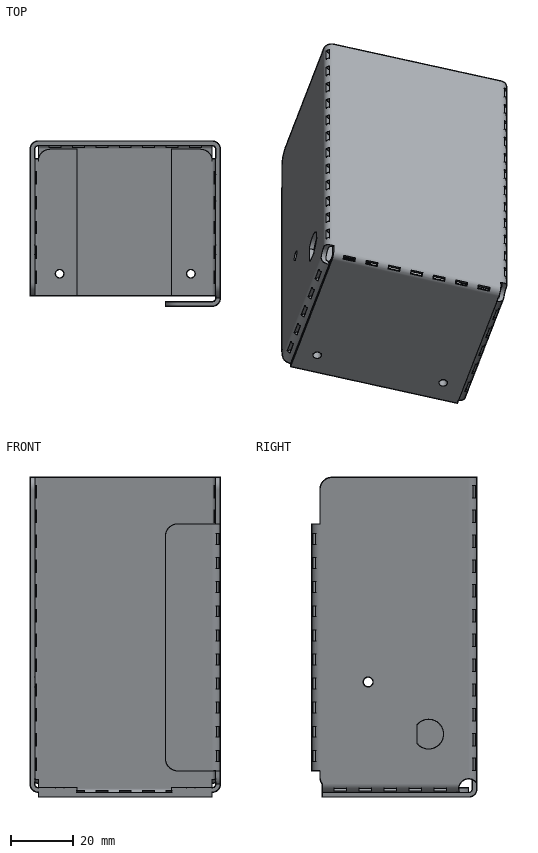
import cadquery as cq
import math


width = 61.0
depth = 53.0
height = 102.6
sheet = 1.5
bend_inner = 1.1
bend = bend_inner + sheet

half_width = width / 2
bend_line_x = half_width - bend
floor_depth = 49.7
right_depth = depth - bend
wall_foot = sheet + bend
left_flap_edge = -15.5
right_flap_edge = 14.9
corner_radius = 4.0
flap_radius = 3.7
relief_radius = 3.2
relief_end = bend + relief_radius

lip_reach = 17.6
lip_bottom = 8.4
lip_top = 87.6
lip_height = lip_top - lip_bottom

slot_width = 1.2
back_slots = (12, 4.0, 2.7)
flap_slots = (5, 4.0, 3.9)
floor_slots = (7, 3.8, 3.5)
lip_slots = (10, 3.5, 3.1)

floor_hole_x = 21.0
floor_hole_y = -42.6
floor_hole_diameter = 2.7
wall_hole_y = -34.9
wall_hole_z = 36.9
wall_hole_diameter = 3.1
cable_hole_y = -15.5
cable_hole_z = 20.2
cable_hole_diameter = 9.5
cable_flat_y = -19.2


def block(x_range, y_range, z_range):
    """Axis-aligned block between (low, high) limits."""
    sizes = [high - low for low, high in (x_range, y_range, z_range)]
    low_corner = (x_range[0], y_range[0], z_range[0])
    return cq.Workplane("XY").box(*sizes, centered=False).translate(low_corner)


def fold(corner, leg, axis, length, slots, slot_start=0):
    """Quarter-round bend along axis from its outer corner, slotted from slot_start on.

    One leg of the bend points along leg, the other along axis x leg.
    """
    plane = cq.Plane(origin=corner, xDir=leg, normal=axis)
    zone = cq.Workplane(plane).rect(bend, bend, centered=False).extrude(length)
    ring = cq.Workplane(plane).center(bend, bend).circle(bend).circle(bend_inner).extrude(length)

    count, slot_length, margin = slots
    first = slot_start + margin
    pitch = (length - margin - slot_length - first) / (count - 1)

    half_angle = slot_width / bend / 2
    rim = 2 * bend
    rim_points = [
        (bend - rim * math.cos(angle), bend - rim * math.sin(angle))
        for angle in (math.pi / 4 - half_angle, math.pi / 4 + half_angle)
    ]
    wedge = cq.Workplane(plane).polyline([(bend, bend), *rim_points]).close().extrude(slot_length)
    strip = ring.intersect(zone)
    for i in range(count):
        strip = strip.cut(wedge.translate(plane.zDir * (first + pitch * i)))
    return strip


def back_and_floor():
    """Back wall folded forward into the floor."""
    x_range = (-bend_line_x, bend_line_x)
    wall = block(x_range, (-sheet, 0), (bend, height))
    floor = block(x_range, (-floor_depth, -bend), (0, sheet))
    floor_fold = fold((-bend_line_x, 0, 0), (0, 0, 1), (1, 0, 0), 2 * bend_line_x, floor_slots)
    return wall.union(floor_fold).union(floor)


def left_side(wall_depth, flap_edge):
    """Left wall with its bend to the back, its bend to the floor and its floor flap."""
    wall = block((-half_width, sheet - half_width), (-wall_depth, -bend), (wall_foot, height))
    wall = wall.edges("|X and <Y and >Z").fillet(corner_radius)
    back_fold = fold(
        (-half_width, 0, bend), (0, -1, 0), (0, 0, 1), height - bend, back_slots, relief_end - bend
    )
    flap_fold = fold(
        (-half_width, -bend, sheet), (1, 0, 0), (0, -1, 0), floor_depth - bend, flap_slots, relief_end - bend
    )
    flap = block((-bend_line_x, flap_edge), (-floor_depth, -bend), (sheet, 2 * sheet))
    flap = flap.edges("|Z and <X and >Y").fillet(flap_radius)

    relief = cq.Workplane("YZ", origin=(-half_width, 0, 0)).center(-bend, bend)
    relief = relief.circle(relief_radius).extrude(bend)
    return wall.union(back_fold).union(flap_fold).cut(relief).union(flap)


def right_side():
    """Mirrored left side whose deeper wall has a rounded foot in front of the flap bend."""
    side = left_side(right_depth, -right_flap_edge).mirror("YZ")
    overhang = right_depth - floor_depth
    foot_rise = math.sqrt(corner_radius**2 - (corner_radius - overhang) ** 2)
    foot = block(
        (half_width - sheet, half_width), (-right_depth, -floor_depth), (wall_foot, wall_foot + foot_rise)
    )
    rounding = cq.Workplane("YZ").center(corner_radius - right_depth, wall_foot + foot_rise)
    rounding = rounding.circle(corner_radius).extrude(half_width)
    return side.cut(foot.cut(rounding))


def front_lip():
    """Lip folded inward from the front of the right wall."""
    lip = block(
        (half_width - lip_reach, bend_line_x), (-depth, sheet - depth), (lip_bottom, lip_top)
    )
    lip = lip.edges("|Y and <X").fillet(corner_radius)
    return lip.union(fold((half_width, -depth, lip_bottom), (0, 1, 0), (0, 0, 1), lip_height, lip_slots))


def holes():
    """Cutters for the floor holes, the aligned wall holes and the right-hand cable hole."""
    floor_pair = cq.Workplane("XY").pushPoints([(-floor_hole_x, floor_hole_y), (floor_hole_x, floor_hole_y)])
    floor_pair = floor_pair.circle(floor_hole_diameter / 2).extrude(2 * sheet)
    wall_pair = cq.Workplane("YZ").center(wall_hole_y, wall_hole_z)
    wall_pair = wall_pair.circle(wall_hole_diameter / 2).extrude(half_width, both=True)
    cable = cq.Workplane("YZ").center(cable_hole_y, cable_hole_z)
    cable = cable.circle(cable_hole_diameter / 2).extrude(half_width)
    behind_flat = block((0, half_width), (cable_flat_y, 0), (0, height))
    cable = cable.intersect(behind_flat)
    return floor_pair.union(wall_pair).union(cable)


result = (
    back_and_floor()
    .union(left_side(floor_depth, left_flap_edge))
    .union(right_side())
    .union(front_lip())
    .cut(holes())
)